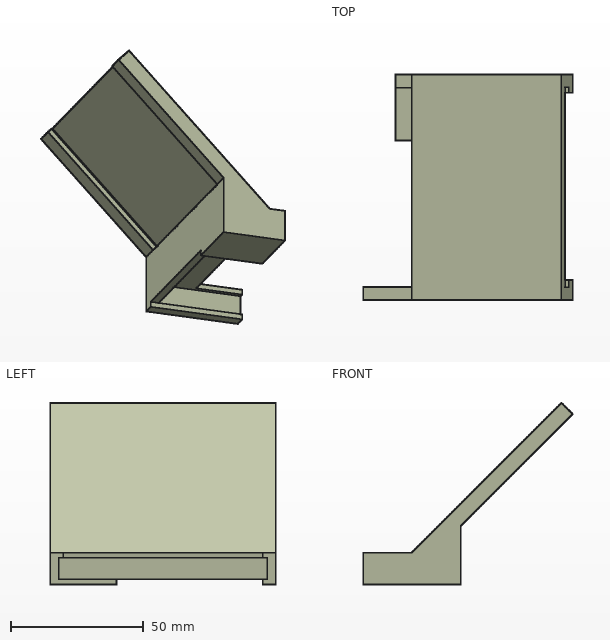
import cadquery as cq
import math

width = 85.0
base_length = 36.7
base_height = 12.1

lean_angle = 45.0
plate_foot_x = 18.2
plate_length = 79.8
rail_depth = 6.0
layer = rail_depth / 3
edge_setback = 0.2

pocket_wall = 3.2
pocket_top = base_height - layer
arm_width = 5.0
short_arm_x = 12.1
floor_width = 25.0

groove_wall = 4.8
near_lip_width = 7.65
far_lip_width = 7.0

lean_cos = math.cos(math.radians(lean_angle))
lean_sin = math.sin(math.radians(lean_angle))


def on_plate(along, depth):
    """X, Z of a point given along the plate and by depth below its upper face."""
    x = plate_foot_x + along * lean_cos + depth * lean_sin
    z = base_height + along * lean_sin - depth * lean_cos
    return x, z


def prism(points, y_start, y_end):
    """Extrude an X-Z outline from y_start to y_end."""
    outline = cq.Workplane("XZ", origin=(0, y_start, 0)).polyline(points).close()
    return outline.extrude(y_start - y_end)


def block(x_range, y_range, z_range):
    """Box between the given limits along each axis."""
    (x0, x1), (y0, y1), (z0, z1) = x_range, y_range, z_range
    return cq.Workplane("XY").box(x1 - x0, y1 - y0, z1 - z0, centered=False).translate((x0, y0, z0))


rail_root_z = (
    base_height
    + (base_length - plate_foot_x) * math.tan(math.radians(lean_angle))
    - rail_depth / lean_cos
)

rail_root_along = (base_length - plate_foot_x) * lean_cos + (rail_root_z - base_height) * lean_sin


def side_profile():
    """Solid base with the leaning plate, before any cuts."""
    points = [
        (0, 0),
        (base_length, 0),
        (base_length, rail_root_z),
        on_plate(plate_length, rail_depth),
        on_plate(plate_length, 0),
        (plate_foot_x, base_height),
        (0, base_height),
    ]
    return prism(points, 0, width)


def front_gap():
    """Clear the top between the arms, leaving a slightly undercut edge at the plate foot."""
    points = [
        (0, pocket_top),
        (plate_foot_x + edge_setback, pocket_top),
        (plate_foot_x, base_height),
        (0, base_height),
    ]
    return prism(points, arm_width, width - arm_width)


def pocket():
    """Cavity between the arms, open at the front and closed at the back."""
    return block(
        (0, base_length - pocket_wall),
        (pocket_wall, width - pocket_wall),
        (layer, pocket_top),
    )


def floor_opening():
    """Open the underside between the long arm and the floor strip."""
    return block((0, base_length), (arm_width, width - floor_width), (0, layer))


def short_arm_cut():
    """Trim everything but the long arm back to the front of the short arm."""
    return block((0, short_arm_x), (arm_width, width), (0, base_height))


def plate_channel(top_depth, bottom_depth, y_start, y_end):
    """Cut below the plate, open at its upper end and stopped at the base."""
    points = [
        on_plate(rail_root_along, top_depth),
        on_plate(plate_length, top_depth),
        on_plate(plate_length, bottom_depth),
        on_plate(rail_root_along, bottom_depth),
    ]
    return prism(points, y_start, y_end)


groove = plate_channel(layer, 2 * layer, groove_wall, width - groove_wall)
lip_gap = plate_channel(2 * layer, rail_depth, near_lip_width, width - far_lip_width)

result = (
    side_profile()
    .cut(front_gap())
    .cut(pocket())
    .cut(floor_opening())
    .cut(short_arm_cut())
    .cut(groove)
    .cut(lip_gap)
)